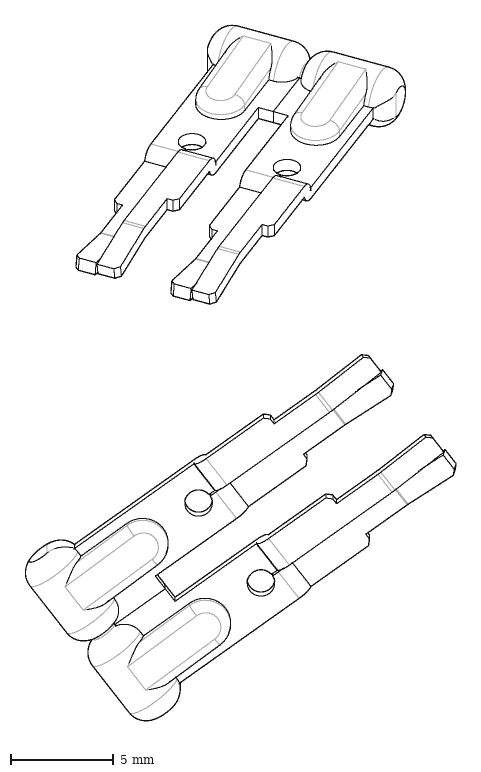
import cadquery as cq
import math

UNIT_OFFSET = 5.1 / 2
FRONT_Y = -10.17
BACK_Y = 10.17

BAR_RADIUS = 3.0 / 2
BAR_STRAIGHT = 3.01
BAR_END_RADIUS = 1.0
BAR_INNER_X = 0.06
BAR_OUTER_X = 5.014
BAR_AXIS_Y = BACK_Y - BAR_RADIUS
FLANK_RADIUS = 1.26
FLANK_START = 0.3

RIB_WIDTH = 2.5
RIB_END_Y = 3.15
RIB_TAPER = math.radians(4.2)
RIB_FILLET = 0.5

THICKNESS = 0.67
HALF_T = THICKNESS / 2
CUT_HEIGHT = 2 * BAR_RADIUS
BLADE_WIDTH = 3.5
BLADE_BACK_INSET = 0.67
BLADE_BACK_Y = BAR_AXIS_Y - BLADE_BACK_INSET
TAB_FRONT_Y = 4.92
HOLE_DIAMETER = 1.35
HOLE_Y = 1.0
SLIT_WIDTH = 0.1

SPREAD_Y = -0.02
SPREAD_RADIUS = 0.75
LEG_OFFSET = 1.12 / 2
SHOULDER_Y = -4.5
TIP_WIDTH = 2.4
CHAMFER = 0.25
TIP_BEND_Y = -7.02
TIP_BEND_INNER_RADIUS = 0.33
TIP_ANGLE = math.radians(10.3)


def lowered_leg_profile():
    """Side outline (Y, Z) of a leg that steps down and then bends back up at its tip."""
    arm_top = HALF_T - LEG_OFFSET
    arm_bottom = -HALF_T - LEG_OFFSET
    sin_tip = math.sin(TIP_ANGLE)
    cos_tip = math.cos(TIP_ANGLE)
    half_tip = TIP_ANGLE / 2

    top_drop_angle = math.acos(1 - LEG_OFFSET / SPREAD_RADIUS)

    def top_arc(angle):
        return (SPREAD_Y - SPREAD_RADIUS * math.sin(angle), HALF_T - SPREAD_RADIUS * (1 - math.cos(angle)))

    def bottom_arc(angle):
        return (
            SPREAD_Y - SPREAD_RADIUS * (1 - math.cos(angle)),
            arm_bottom + SPREAD_RADIUS * (1 - math.sin(angle)),
        )

    outer_radius = TIP_BEND_INNER_RADIUS + THICKNESS
    bend_z = arm_top + TIP_BEND_INNER_RADIUS

    def tip_arc(radius, angle):
        return (TIP_BEND_Y - radius * math.sin(angle), bend_z - radius * math.cos(angle))

    outer_bend_end = tip_arc(outer_radius, TIP_ANGLE)
    tip_bottom_z = outer_bend_end[1] + (outer_bend_end[0] - FRONT_Y) * math.tan(TIP_ANGLE)
    tip_top = (FRONT_Y + THICKNESS * sin_tip, tip_bottom_z + THICKNESS * cos_tip)

    return (
        cq.Workplane("YZ")
        .moveTo(SPREAD_Y, HALF_T)
        .threePointArc(top_arc(top_drop_angle / 2), top_arc(top_drop_angle))
        .lineTo(TIP_BEND_Y, arm_top)
        .threePointArc(tip_arc(TIP_BEND_INNER_RADIUS, half_tip), tip_arc(TIP_BEND_INNER_RADIUS, TIP_ANGLE))
        .lineTo(*tip_top)
        .lineTo(FRONT_Y, tip_bottom_z)
        .lineTo(*outer_bend_end)
        .threePointArc(tip_arc(outer_radius, half_tip), (TIP_BEND_Y, arm_bottom))
        .lineTo(*bottom_arc(math.pi / 2))
        .threePointArc(bottom_arc(math.pi / 4), bottom_arc(0))
        .close()
    )


def lowered_leg():
    """Leg on the -X side of a blade centred on X = 0."""
    wide = BLADE_WIDTH / 2
    narrow = TIP_WIDTH / 2
    leg = lowered_leg_profile().extrude(-wide)
    shoulder_cut = (
        cq.Workplane("XY")
        .moveTo(-wide, FRONT_Y)
        .lineTo(-narrow, FRONT_Y)
        .lineTo(-narrow, SHOULDER_Y)
        .lineTo(-wide + CHAMFER, SHOULDER_Y)
        .lineTo(-wide, SHOULDER_Y + CHAMFER)
        .close()
        .extrude(CUT_HEIGHT, both=True)
    )
    tip_direction = cq.Vector(0, math.sin(TIP_ANGLE), math.cos(TIP_ANGLE))
    tip_edges = cq.selectors.ParallelDirSelector(tip_direction)
    return leg.cut(shoulder_cut).edges(tip_edges).edges("<X").chamfer(CHAMFER)


def contact_blade(side):
    """Blade of the unit on the given side (-1 or +1 in X), its tab reaching the mid plane."""
    plate_length = BLADE_BACK_Y - SPREAD_Y
    plate = (
        cq.Workplane("XY")
        .center(0, SPREAD_Y + plate_length / 2)
        .rect(BLADE_WIDTH, plate_length)
        .extrude(HALF_T, both=True)
    )
    tab_length = BLADE_BACK_Y - TAB_FRONT_Y
    tab = (
        cq.Workplane("XY")
        .center(-side * UNIT_OFFSET / 2, TAB_FRONT_Y + tab_length / 2)
        .rect(UNIT_OFFSET, tab_length)
        .extrude(HALF_T, both=True)
    )
    low_leg = lowered_leg()
    raised_leg = low_leg.rotate((0, 0, 0), (0, 1, 0), 180)
    hole = cq.Workplane("XY").center(0, HOLE_Y).circle(HOLE_DIAMETER / 2).extrude(CUT_HEIGHT, both=True)
    slit_length = HOLE_Y - FRONT_Y
    slit = (
        cq.Workplane("XY")
        .center(0, FRONT_Y + slit_length / 2)
        .rect(SLIT_WIDTH, slit_length)
        .extrude(CUT_HEIGHT, both=True)
    )
    blade = plate.union(tab).cut(hole).cut(slit)
    blade = blade.union(low_leg.cut(slit)).union(raised_leg.cut(slit))
    return blade.translate((side * UNIT_OFFSET, 0, 0))


def crossbar():
    """Right-hand bar along X, with rounded ends trimmed flat and a rounded outer front corner."""
    rounded_length = BAR_STRAIGHT + 2 * BAR_END_RADIUS
    bar = (
        cq.Workplane("YZ", origin=(UNIT_OFFSET - rounded_length / 2, BAR_AXIS_Y, 0))
        .circle(BAR_RADIUS)
        .extrude(rounded_length)
        .edges()
        .fillet(BAR_END_RADIUS)
    )
    flank_y = BAR_AXIS_Y - FLANK_START
    flank_end = (BAR_OUTER_X - FLANK_RADIUS, flank_y - FLANK_RADIUS)
    flank_mid = (
        BAR_OUTER_X - FLANK_RADIUS * (1 - math.cos(math.pi / 4)),
        flank_y - FLANK_RADIUS * math.sin(math.pi / 4),
    )
    envelope = (
        cq.Workplane("XY")
        .moveTo(BAR_INNER_X, BACK_Y)
        .lineTo(BAR_OUTER_X, BACK_Y)
        .lineTo(BAR_OUTER_X, flank_y)
        .threePointArc(flank_mid, flank_end)
        .lineTo(BAR_INNER_X, flank_end[1])
        .close()
        .extrude(BAR_RADIUS, both=True)
    )
    return bar.intersect(envelope)


def tapered_rib():
    """Rib with a round front end; its sloping top and bottom run tangent into the bar."""
    back_y = BAR_AXIS_Y - BAR_RADIUS * math.sin(RIB_TAPER)
    back_z = BAR_RADIUS * math.cos(RIB_TAPER)
    end_z = back_z - (back_y - RIB_END_Y) * math.tan(RIB_TAPER)
    half_width = RIB_WIDTH / 2
    round_y = RIB_END_Y + half_width
    wedge = (
        cq.Workplane("YZ", origin=(UNIT_OFFSET, 0, 0))
        .polyline([(back_y, back_z), (RIB_END_Y, end_z), (RIB_END_Y, -end_z), (back_y, -back_z)])
        .close()
        .extrude(half_width, both=True)
    )
    outline = (
        cq.Workplane("XY", origin=(UNIT_OFFSET, 0, 0))
        .moveTo(-half_width, back_y)
        .lineTo(-half_width, round_y)
        .threePointArc((0, RIB_END_Y), (half_width, round_y))
        .lineTo(half_width, back_y)
        .close()
        .extrude(BAR_RADIUS, both=True)
    )
    rib = wedge.intersect(outline)
    for face in (">Z", "<Z"):
        rib = rib.faces(face).edges("not >Y").fillet(RIB_FILLET)
    return rib


def grip(side, blade):
    """Grip of the unit on the given side, recessed to hold its blade."""
    body = crossbar().union(tapered_rib())
    if side < 0:
        body = body.mirror("YZ")
    return body.cut(blade)


bodies = []
for unit_side in (-1, 1):
    unit_blade = contact_blade(unit_side)
    unit_grip = grip(unit_side, unit_blade)
    bodies += [unit_blade.solids().val(), unit_grip.solids().val()]

result = cq.Compound.makeCompound(bodies)